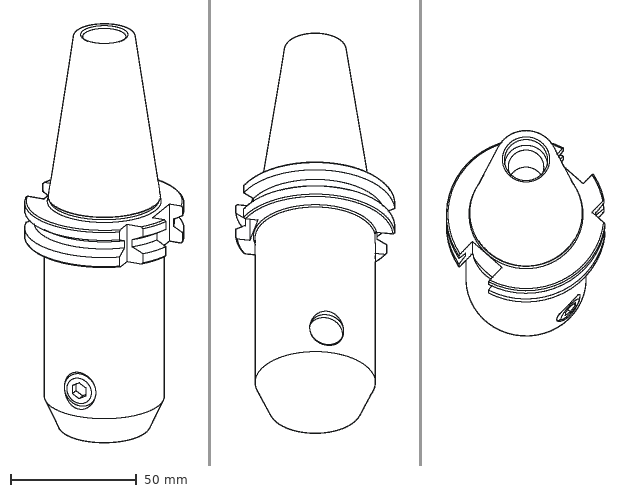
import cadquery as cq
import math

total_length = 168.4

gauge_z = 100.0
gauge_radius = 22.2
taper_slope = 7 / 24 / 2
taper_bottom_z = 98.9
neck_radius = 21.9
neck_flare = 0.8
taper_top_fillet = 1.0

flange_radius = 31.75
flange_top_z = 96.8
flange_bottom_z = 80.8
flange_chamfer = 0.7
groove_z = 89.0
groove_floor_radius = 28.0
groove_opening_half = 3.7
groove_flank_angle = 30

body_radius = 24.0
body_fillet = 0.7
nose_cone_top_z = 13.0
nose_radius = 18.2
nose_fillet = 1.2

keyway_width = 16.0
deep_keyway_floor = 22.82
shallow_keyway_floor = 25.0
deep_keyway_end_z = 72.7
notch_x = 18.5
notch_y = 18.7

bore_radius = 8.6
bore_depth = 8.3
bore_chamfer = 0.8
drill_radius = 7.0
drill_edge_depth = 32.0
countersink_depth = 9.8
drill_tip_angle = 118

screw_z = 24.0
screw_hole_radius = 6.9
screw_hole_mouth_radius = 7.9
screw_face_radius = 5.4
screw_face_y = body_radius
hex_across_flats = 5.9
hex_depth = 3.4
far_hole_depth = 3.4

clearance = 1.7

taper_top_radius = gauge_radius - (total_length - gauge_z) * taper_slope
taper_bottom_radius = gauge_radius + (gauge_z - taper_bottom_z) * taper_slope
groove_depth = flange_radius - groove_floor_radius
groove_floor_half = groove_opening_half - groove_depth * math.tan(math.radians(groove_flank_angle))
hole_chamfer_start = body_radius - (screw_hole_mouth_radius - screw_hole_radius)
mouth_outer_radius = screw_hole_mouth_radius + clearance
mouth_outer_y = body_radius + clearance


def revolve_z(points):
    """Revolve an (r, z) outline about the Z axis."""
    return cq.Workplane("XZ").polyline(points).close().revolve(360, (0, 0), (0, 1))


def radial_cone(inner_radius, inner_y, outer_radius, outer_y, side):
    """Cone on the screw line, between two distances from the Z axis, on the -Y or +Y side."""
    base = cq.Vector(0, side * inner_y, screw_z)
    outward = cq.Vector(0, side, 0)
    return cq.Workplane(cq.Solid.makeCone(inner_radius, outer_radius, outer_y - inner_y, base, outward))


def make_body():
    """Nose cone and cylindrical body, blended into the underside of the flange."""
    body = revolve_z([
        (0, 0),
        (nose_radius, 0),
        (body_radius, nose_cone_top_z),
        (body_radius, flange_bottom_z),
        (0, flange_bottom_z),
    ])
    body = body.faces("<Z").edges().fillet(nose_fillet)
    blend = revolve_z([
        (0, flange_bottom_z - body_fillet),
        (body_radius, flange_bottom_z - body_fillet),
        (body_radius + body_fillet, flange_bottom_z),
        (0, flange_bottom_z),
    ])
    return body.union(blend)


def make_flange():
    """Chamfered flange ring with a V-groove around its rim."""
    rim = flange_radius - flange_chamfer
    return revolve_z([
        (0, flange_bottom_z),
        (rim, flange_bottom_z),
        (flange_radius, flange_bottom_z + flange_chamfer),
        (flange_radius, groove_z - groove_opening_half),
        (groove_floor_radius, groove_z - groove_floor_half),
        (groove_floor_radius, groove_z + groove_floor_half),
        (flange_radius, groove_z + groove_opening_half),
        (flange_radius, flange_top_z - flange_chamfer),
        (rim, flange_top_z),
        (0, flange_top_z),
    ])


def make_taper():
    """Relief neck and spindle taper with a rounded small end."""
    taper = revolve_z([
        (0, flange_top_z),
        (neck_radius + neck_flare, flange_top_z),
        (neck_radius, flange_top_z + neck_flare),
        (neck_radius, taper_bottom_z),
        (taper_bottom_radius, taper_bottom_z),
        (taper_top_radius, total_length),
        (0, total_length),
    ])
    return taper.faces(">Z").edges().fillet(taper_top_fillet)


def make_bore():
    """Chamfered counterbore, countersunk step and drilled hole with a drill-point bottom."""
    tip_depth = drill_edge_depth + drill_radius / math.tan(math.radians(drill_tip_angle / 2))
    return revolve_z([
        (0, total_length),
        (bore_radius + bore_chamfer, total_length),
        (bore_radius, total_length - bore_chamfer),
        (bore_radius, total_length - bore_depth),
        (drill_radius, total_length - countersink_depth),
        (drill_radius, total_length - drill_edge_depth),
        (0, total_length - tip_depth),
    ])


def make_deep_keyway():
    """Keyway on -X that runs down into the body with a full-round end."""
    depth = flange_radius - deep_keyway_floor + clearance
    end_centre_z = deep_keyway_end_z + keyway_width / 2
    height = flange_top_z - end_centre_z
    slot = cq.Workplane("YZ", origin=(-deep_keyway_floor, 0, end_centre_z))
    straight = slot.center(0, height / 2).rect(keyway_width, height).extrude(-depth)
    round_end = slot.circle(keyway_width / 2).extrude(-depth)
    return straight.union(round_end)


def make_flange_cut(x_min, y_min, y_max):
    """Box cut through the full flange height, open towards +X."""
    size_x = flange_radius - x_min + clearance
    height = flange_top_z - flange_bottom_z
    box = cq.Workplane("XY").box(size_x, y_max - y_min, height, centered=False)
    return box.translate((x_min, y_min, flange_bottom_z))


def make_hole_mouth(side):
    """45-degree chamfer where the screw hole breaks through the body surface."""
    return radial_cone(screw_hole_radius, hole_chamfer_start, mouth_outer_radius, mouth_outer_y, side)


def make_screw_end():
    """Chamfered end of the clamping screw, standing in the mouth of its hole."""
    return radial_cone(screw_hole_radius, hole_chamfer_start, screw_face_radius, screw_face_y, -1)


def make_hex_socket():
    """Hexagon socket in the screw, with two corners on the vertical."""
    across_corners = hex_across_flats / math.cos(math.radians(30))
    plane = cq.Workplane("XZ", origin=(0, -screw_face_y, screw_z))
    return plane.transformed(rotate=(0, 0, 90)).polygon(6, across_corners).extrude(-hex_depth)


def make_far_hole():
    """Blind hole on +Y, opposite the screw."""
    base = cq.Vector(0, body_radius - far_hole_depth, screw_z)
    height = far_hole_depth + clearance
    return cq.Workplane(cq.Solid.makeCylinder(screw_hole_radius, height, base, cq.Vector(0, 1, 0)))


result = make_body().union(make_flange()).union(make_taper())

cuts = [
    make_bore(),
    make_deep_keyway(),
    make_flange_cut(shallow_keyway_floor, -keyway_width / 2, keyway_width / 2),
    make_flange_cut(notch_x, -flange_radius, -notch_y),
    make_hole_mouth(-1),
    make_hole_mouth(1),
    make_far_hole(),
]
for cut in cuts:
    result = result.cut(cut)

result = result.union(make_screw_end()).cut(make_hex_socket())